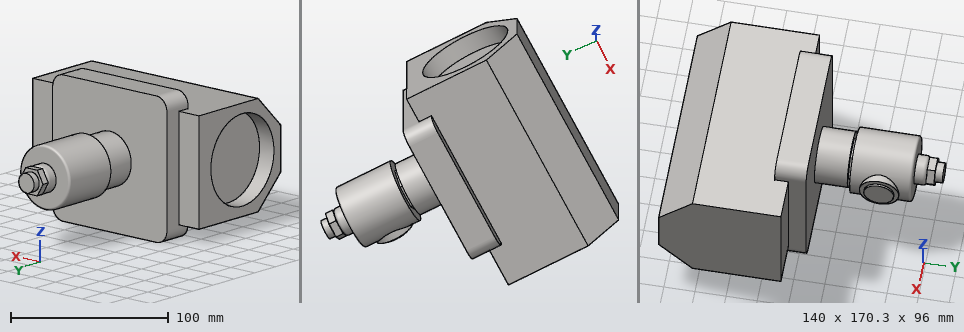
import cadquery as cq
import math

block_length = 140.0
block_depth = 78.7
block_height = 74.5
bevel = 21.8

recess_diameter = 60.6
recess_depth = 12.1
recess_y = 37.0

plate_side = 96.0
plate_corner_radius = 8.9
plate_front_y = 69.8
plate_back_y = 90.1
fitting_x = -5.0

collar_diameter = 36.1
collar_end_y = 111.2
lower_hex_flats = 25.5
lower_hex_end_y = 113.2
housing_diameter = 42.2
housing_end_y = 152.6
housing_edge_radius = 1.5
neck_diameter = 19.0
neck_end_y = 160.3
neck_edge_radius = 2.2
nut_flats = 16.9
nut_end_y = 165.4
tip_diameter = 13.0
tip_end_y = 170.3

port_y = 132.3
port_diameter = 25.4
port_reach = 22.0
port_face_diameter = 19.2
port_face_reach = 23.3


def plane_facing_back(y):
    """Plane on the fitting axis at the given Y, with its normal along +Y."""
    return cq.Plane(origin=(fitting_x, y, 0), xDir=(1, 0, 0), normal=(0, 1, 0))


def round_step(diameter, start_y, end_y):
    return cq.Workplane(plane_facing_back(start_y)).circle(diameter / 2).extrude(end_y - start_y)


def hex_step(flats, start_y, end_y):
    """Hexagonal step with corners pointing along X and flats facing +Z and -Z."""
    across_corners = flats / math.cos(math.pi / 6)
    hexagon = cq.Workplane(plane_facing_back(start_y)).polygon(6, across_corners)
    return hexagon.extrude(end_y - start_y)


def make_plate():
    plate = cq.Workplane(plane_facing_back(plate_front_y)).rect(plate_side, plate_side)
    return plate.extrude(plate_back_y - plate_front_y).edges("|Y").fillet(plate_corner_radius)


def side_port(diameter, reach):
    """Round boss running from the fitting axis toward +X."""
    plane = cq.Plane(origin=(fitting_x, port_y, 0), xDir=(0, 1, 0), normal=(1, 0, 0))
    return cq.Workplane(plane).circle(diameter / 2).extrude(reach)


def make_block():
    block = cq.Workplane("XY").box(block_length, block_depth, block_height, centered=(True, False, True))
    block = block.faces("<Y").edges("|X").chamfer(bevel)
    recess = (
        cq.Workplane("YZ", origin=(-block_length / 2, 0, 0))
        .center(recess_y, 0)
        .circle(recess_diameter / 2)
        .extrude(recess_depth)
    )
    return block.cut(recess).cut(make_plate())


def make_fitting():
    housing = round_step(housing_diameter, lower_hex_end_y, housing_end_y)
    housing = housing.faces(">Y").edges().fillet(housing_edge_radius)
    neck = round_step(neck_diameter, housing_end_y, neck_end_y)
    neck = neck.faces(">Y").edges().fillet(neck_edge_radius)
    return (
        make_plate()
        .union(round_step(collar_diameter, plate_back_y, collar_end_y))
        .union(hex_step(lower_hex_flats, collar_end_y, lower_hex_end_y))
        .union(housing)
        .union(side_port(port_diameter, port_reach))
        .union(side_port(port_face_diameter, port_face_reach))
        .union(neck)
        .union(hex_step(nut_flats, neck_end_y, nut_end_y))
        .union(round_step(tip_diameter, nut_end_y, tip_end_y))
    )


block = make_block()
fitting = make_fitting()
result = cq.Compound.makeCompound([block.val(), *fitting.vals()])